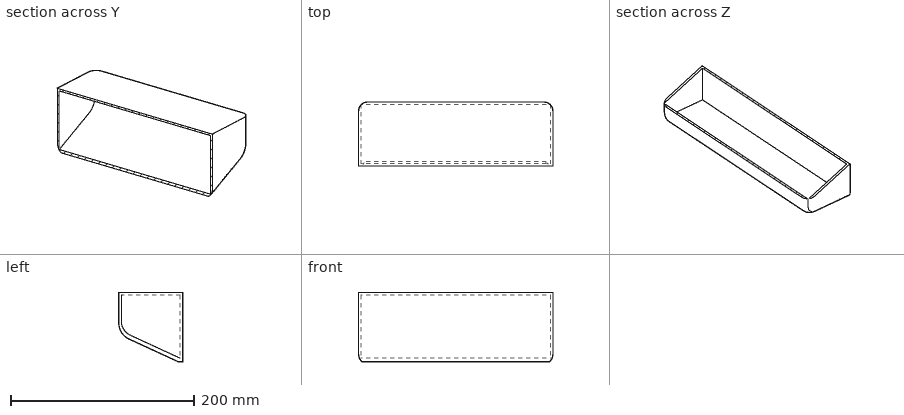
import math

import cadquery as cq

length = 212.57
depth = 70.26
height = 75.85

slope_run = 65.0
slope_rise = 30.0
bend_radius = 20.0

end_radius = 10.0

wall = 3.0
underside_wall = 4.5

slope = slope_rise / slope_run
foot_depth = depth - slope_run
keel_drop = foot_depth * slope
underside_wall_height = underside_wall * math.hypot(1, slope)


def underside_height(y):
    """Height of the sloping underside at a given Y."""
    return y * slope - keel_drop


def wedge(front, back, top, floor_offset, width, radius):
    """Bar along X with an upright back, a sloping bottom and a rounded bend between them."""
    front_bottom = underside_height(front) + floor_offset
    back_bottom = underside_height(back) + floor_offset
    profile = (
        cq.Workplane("YZ")
        .moveTo(front, front_bottom)
        .lineTo(back, back_bottom)
        .lineTo(back, top)
        .lineTo(front, top)
        .close()
    )
    bar = profile.extrude(width / 2, both=True)
    bend_edge = cq.selectors.NearestToPointSelector((0, back, back_bottom))
    return bar.edges(bend_edge).fillet(radius)


def round_ends(body):
    """Round both end faces along the back wall, bend and underside."""
    end_edges = body.faces("<X or >X").edges().vals()
    sharp_edges = body.faces("<Y or >Z").edges().vals()
    rounded_edges = [edge for edge in end_edges if edge not in sharp_edges]
    return body.newObject(rounded_edges).fillet(end_radius)


def cut_foot(body):
    """Trim the keel below Z = 0 to leave the flat foot."""
    keel = cq.Workplane("XY").box(length, depth, keel_drop, centered=(True, False, False))
    return body.cut(keel.translate((0, 0, -keel_drop)))


def cut_cavity(body):
    """Hollow the body, leaving the bend radius smaller by one wall thickness."""
    cavity = wedge(
        front=wall,
        back=depth - wall,
        top=height - wall,
        floor_offset=underside_wall_height,
        width=length - 2 * wall,
        radius=bend_radius - wall,
    )
    return body.cut(cavity)


outer_body = wedge(
    front=0,
    back=depth,
    top=height,
    floor_offset=0,
    width=length,
    radius=bend_radius,
)
result = cut_cavity(cut_foot(round_ends(outer_body)))